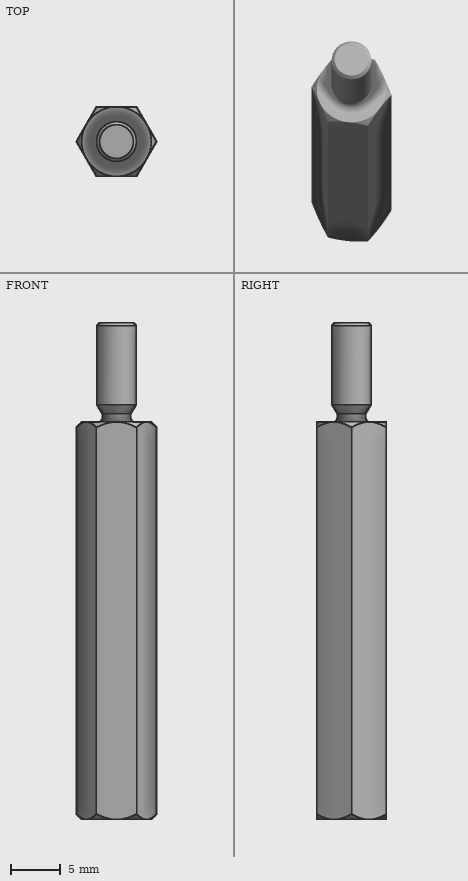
import cadquery as cq
import math

total_height = 50.0
stud_height = 10.0
body_height = total_height - stud_height
across_flats = 7.0
across_corners = across_flats / math.cos(math.radians(30))

end_face_radius = across_flats / 2
corner_radius = across_corners / 2
bevel = corner_radius - end_face_radius

stud_radius = 4.0 / 2
tip_chamfer = 0.3
neck_radius = 2.9 / 2
root_fillet = 0.4
neck_cone_start = 0.85
neck_cone_end = 1.75


def hex_body():
    """Hexagonal prism with corners along X, turned down at both ends."""
    prism = cq.Workplane("XY").polygon(6, across_corners).extrude(body_height)
    turned_envelope = (
        cq.Workplane("XY")
        .circle(corner_radius)
        .extrude(body_height)
        .faces("<Z or >Z")
        .chamfer(bevel)
    )
    return prism.intersect(turned_envelope)


def stud():
    """Turned stud: root fillet, neck, cone, shank and chamfered tip."""
    profile = (
        cq.Workplane("XZ")
        .moveTo(0, body_height)
        .lineTo(neck_radius + root_fillet, body_height)
        .radiusArc((neck_radius, body_height + root_fillet), root_fillet)
        .lineTo(neck_radius, body_height + neck_cone_start)
        .lineTo(stud_radius, body_height + neck_cone_end)
        .lineTo(stud_radius, total_height - tip_chamfer)
        .lineTo(stud_radius - tip_chamfer, total_height)
        .lineTo(0, total_height)
        .close()
    )
    return profile.revolve(360, (0, 0, 0), (0, 1, 0))


result = hex_body().union(stud())